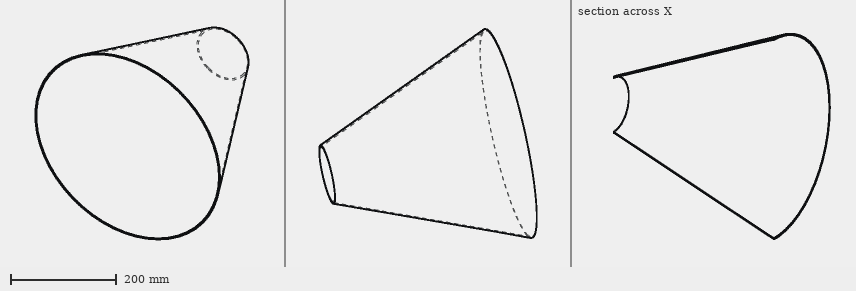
import cadquery as cq

large_diameter = 406.5
small_diameter = 114.0
length = 356.0
wall = 3.0

large_radius = large_diameter / 2
small_radius = small_diameter / 2

wall_section = (
    cq.Workplane("XY")
    .moveTo(large_radius - wall, 0)
    .lineTo(large_radius, 0)
    .lineTo(small_radius, length)
    .lineTo(small_radius - wall, length)
    .close()
)

result = wall_section.revolve(360, (0, 0, 0), (0, 1, 0))